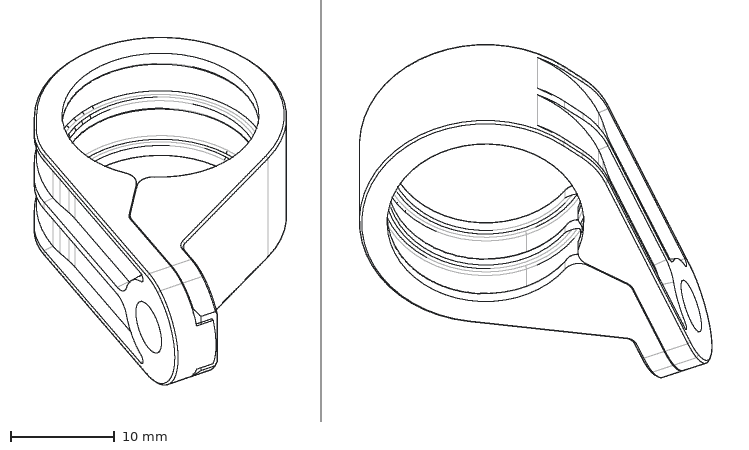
import cadquery as cq
import math

width = 12.7
half_width = width / 2
outer_radius = 12.2
bore_radius = 9.5
rim_chamfer = 0.25

flange_tip_x = 26.75
flange_bottom_y = -12.78
flange_top_y = -7.7
arm_slope = 60
arm_fillet = 1.0
bottom_slope = 29
bottom_blend_radius = 8.0
end_radius = 6.5
shoulder_radius = 5.03
bolt_x = 21.25
bolt_radius = 2.6

slit_y = -10.13
slit_gap = 0.097
slit_bend_x = 12.35
slit_slope = 36.8
slit_bend_radius = 1.5
slit_inner_x = 6.25
nose_fillet = 1.65
mouth_box = ((6.25, -7, -0.4), (7.8, -5.45, 0.4))

upper_end_x = 25.83
upper_end_chamfer = 0.6
catch_gap = 0.08
catch_top_y = -8.38
catch_half_width = 2.7
catch_fillet = 0.4

groove_depth = 0.9
groove_inner_z = 0.45
groove_outer_z = 5.1
groove_fillet = 0.25

pocket_rib_z = 0.43
pocket_outer_z = 5.57
pocket_draft = 10
pocket_start_x = -8.38
hump_y = -11.8
floor_y = -11.5
ramp_start_x = 1.3
ramp_end_x = 2.75
floor_start_x = 3.85
bolt_boss_radius = 4.85
rib_fillet = 2.0
tip_fillet = 0.5
mouth_overrun = 0.4
root_overrun = 0.4

far = 2 * flange_tip_x


def on_circle(radius, degrees, center_x=0.0, center_y=0.0):
    """Point on a circle at an angle counted from the first axis."""
    angle = math.radians(degrees)
    return center_x + radius * math.cos(angle), center_y + radius * math.sin(angle)


def make_blank():
    """Ring, slanted arm and both flanges as one plan outline."""
    top_tangent = on_circle(outer_radius, 90 - arm_slope)
    arm_run = (top_tangent[1] - flange_top_y) / math.tan(math.radians(arm_slope))
    arm_foot = (top_tangent[0] + arm_run, flange_top_y)
    low_tangent = on_circle(outer_radius, 270 - bottom_slope)
    bottom_run = (low_tangent[1] - flange_bottom_y) / math.tan(math.radians(bottom_slope))
    bottom_corner = (low_tangent[0] + bottom_run, flange_bottom_y)
    outline = (
        cq.Workplane("XY")
        .workplane(offset=-half_width)
        .moveTo(*top_tangent)
        .threePointArc((-outer_radius, 0), low_tangent)
        .lineTo(*bottom_corner)
        .lineTo(flange_tip_x, flange_bottom_y)
        .lineTo(flange_tip_x, flange_top_y)
        .lineTo(*arm_foot)
        .close()
        .extrude(width)
    )
    blank = outline.edges(cq.NearestToPointSelector((*bottom_corner, 0))).fillet(bottom_blend_radius)
    return blank.edges(cq.NearestToPointSelector((*arm_foot, 0))).fillet(arm_fillet)


def make_end_outline():
    """Rounded flange end seen along Y: a tip arc with a smaller shoulder arc on each side."""
    tip_center_x = flange_tip_x - end_radius
    shoulder_z = half_width - shoulder_radius
    reach = end_radius - shoulder_radius
    shoulder_x = tip_center_x + math.sqrt(reach**2 - shoulder_z**2)
    join_angle = math.degrees(math.atan2(shoulder_z, shoulder_x - tip_center_x))
    join_x, join_z = on_circle(end_radius, join_angle, tip_center_x)
    mid_x, mid_z = on_circle(shoulder_radius, (90 + join_angle) / 2, shoulder_x, shoulder_z)
    return (
        cq.Workplane("XZ")
        .moveTo(-far, half_width)
        .lineTo(shoulder_x, half_width)
        .threePointArc((mid_x, mid_z), (join_x, join_z))
        .threePointArc((flange_tip_x, 0), (join_x, -join_z))
        .threePointArc((mid_x, -mid_z), (shoulder_x, -half_width))
        .lineTo(-far, -half_width)
        .close()
        .extrude(far, both=True)
    )


def make_slit():
    """Thin slit: level between the flanges, then bending up into the bore."""
    slope = math.radians(slit_slope)
    tangent = slit_bend_radius * math.tan(slope / 2)
    bend_start = (slit_bend_x - tangent * math.cos(slope), slit_y + tangent * math.sin(slope))
    run = slit_bend_x - slit_inner_x
    path = (
        cq.Workplane("XY")
        .workplane(offset=-half_width)
        .moveTo(slit_inner_x, slit_y + run * math.tan(slope))
        .lineTo(*bend_start)
        .tangentArcPoint((slit_bend_x + tangent, slit_y), relative=False)
        .lineTo(upper_end_x - upper_end_chamfer, slit_y)
    )
    return path.offset2D(slit_gap / 2).extrude(width)


def make_groove():
    """Ring-shaped groove cutter with a rounded floor and rounded mouth, above the bore's middle rib."""
    floor_radius = bore_radius + groove_depth
    f = groove_fillet
    bulge = f * (1 - math.sqrt(0.5))
    low = groove_inner_z
    high = groove_outer_z
    return (
        cq.Workplane("XZ")
        .moveTo(bore_radius - f, low)
        .lineTo(bore_radius, low)
        .threePointArc((bore_radius + bulge, low + f - bulge), (bore_radius + f, low + f))
        .lineTo(floor_radius - f, low + f)
        .threePointArc((floor_radius - bulge, low + f + bulge), (floor_radius, low + 2 * f))
        .lineTo(floor_radius, high - 2 * f)
        .threePointArc((floor_radius - bulge, high - f - bulge), (floor_radius - f, high - f))
        .lineTo(bore_radius + f, high - f)
        .threePointArc((bore_radius + bulge, high - f + bulge), (bore_radius, high))
        .lineTo(bore_radius - f, high)
        .close()
        .revolve(360, (0, 0, 0), (0, 1, 0))
    )


def make_pocket_floor():
    """Everything below the pocket floor: wraps the ring, humps, then ramps to the level floor."""
    start_y = -math.sqrt(outer_radius**2 - pocket_start_x**2)
    rise = start_y - hump_y
    wrap_radius = (pocket_start_x**2 + rise**2) / (2 * rise)
    wrap_angle = math.degrees(math.asin(pocket_start_x / wrap_radius)) / 2 - 90
    wrap_mid = on_circle(wrap_radius, wrap_angle, 0, hump_y + wrap_radius)
    ramp_slope = 2 * (floor_y - hump_y) / (ramp_end_x + floor_start_x - ramp_start_x)
    ramp_low = (ramp_start_x, hump_y + ramp_slope * ramp_start_x / 2)
    ramp_high = (ramp_end_x, floor_y - ramp_slope * (floor_start_x - ramp_end_x) / 2)
    return (
        cq.Workplane("XY")
        .workplane(offset=-half_width)
        .moveTo(pocket_start_x, start_y)
        .threePointArc(wrap_mid, (0, hump_y))
        .tangentArcPoint(ramp_low, relative=False)
        .lineTo(*ramp_high)
        .tangentArcPoint((floor_start_x, floor_y), relative=False)
        .lineTo(far, floor_y)
        .lineTo(far, 2 * flange_bottom_y)
        .lineTo(2 * pocket_start_x, 2 * flange_bottom_y)
        .close()
        .extrude(width)
    )


def make_pocket():
    """Upper pocket: drafted straight walls under the flange, the same draft carried round the ring."""
    rib_center_z = pocket_rib_z + rib_fillet
    rib_center_x = bolt_x - math.sqrt((bolt_boss_radius + rib_fillet) ** 2 - rib_center_z**2)
    rib_angle = math.degrees(math.atan2(rib_center_z, rib_center_x - bolt_x))
    tip_center_z = pocket_outer_z - tip_fillet
    tip_center_x = bolt_x - math.sqrt((bolt_boss_radius + tip_fillet) ** 2 - tip_center_z**2)
    tip_angle = math.degrees(math.atan2(tip_center_z, tip_center_x - bolt_x))
    straight = (
        cq.Workplane("XZ", origin=(0, flange_bottom_y, 0))
        .moveTo(-outer_radius, pocket_rib_z)
        .lineTo(rib_center_x, pocket_rib_z)
        .threePointArc(
            on_circle(rib_fillet, (rib_angle - 270) / 2, rib_center_x, rib_center_z),
            on_circle(bolt_boss_radius, rib_angle, bolt_x),
        )
        .threePointArc(
            on_circle(bolt_boss_radius, (rib_angle + tip_angle) / 2, bolt_x),
            on_circle(bolt_boss_radius, tip_angle, bolt_x),
        )
        .threePointArc((tip_center_x + tip_fillet, tip_center_z), (tip_center_x, pocket_outer_z))
        .lineTo(-outer_radius, pocket_outer_z)
        .close()
        .extrude(flange_bottom_y - floor_y - root_overrun, taper=pocket_draft)
    )
    under_flange = straight.intersect(cq.Workplane("XY").box(far, far, far, centered=(False, True, True)))

    mouth_radius = -flange_bottom_y
    draft_slope = math.tan(math.radians(pocket_draft))
    root_narrowing = (mouth_radius - bore_radius) * draft_slope
    lip_widening = mouth_overrun * draft_slope
    round_ring = (
        cq.Workplane("XZ")
        .polyline(
            [
                (-mouth_radius - mouth_overrun, pocket_rib_z - lip_widening),
                (-mouth_radius - mouth_overrun, pocket_outer_z + lip_widening),
                (-bore_radius, pocket_outer_z - root_narrowing),
                (-bore_radius, pocket_rib_z + root_narrowing),
            ]
        )
        .close()
        .revolve(90, (0, 0, 0), (0, 1, 0))
    )
    return under_flange.union(round_ring).intersect(make_pocket_floor())


def make_catch():
    """Narrow hook standing on the lower flange just past the end of the upper flange."""
    inner_x = upper_end_x + catch_gap
    foot_y = slit_y - slit_gap / 2
    return (
        cq.Workplane("XY")
        .moveTo(inner_x, catch_top_y)
        .lineTo(flange_tip_x, catch_top_y)
        .lineTo(flange_tip_x, foot_y)
        .lineTo(inner_x - catch_fillet, foot_y)
        .radiusArc((inner_x, foot_y + catch_fillet), -catch_fillet)
        .close()
        .extrude(catch_half_width, both=True)
    )


end_outline = make_end_outline()
body = make_blank().intersect(end_outline)
body = body.faces("<Y or |Z").edges().chamfer(rim_chamfer)

above_slit = slit_y - slit_gap / 2
bevel_y = slit_y + upper_end_chamfer
end_clearance = (
    cq.Workplane("XY")
    .polyline(
        [
            (upper_end_x, 0),
            (upper_end_x, bevel_y),
            (upper_end_x - upper_end_chamfer, slit_y),
            (upper_end_x - upper_end_chamfer, above_slit),
            (far, above_slit),
            (far, 0),
        ]
    )
    .close()
    .extrude(half_width, both=True)
)
body = body.cut(end_clearance).union(make_catch().intersect(end_outline))

body = body.cut(cq.Workplane("XY", origin=(0, 0, -half_width)).circle(bore_radius).extrude(width))
body = body.cut(make_slit())
nose_edges = body.edges("|Z").edges(cq.selectors.BoxSelector(*mouth_box))
body = nose_edges.fillet(nose_fillet)

for cutter in (make_groove(), make_pocket()):
    body = body.cut(cutter).cut(cutter.mirror("XY"))

bolt_hole = cq.Workplane("XZ").center(bolt_x, 0).circle(bolt_radius).extrude(far)
result = body.cut(bolt_hole)